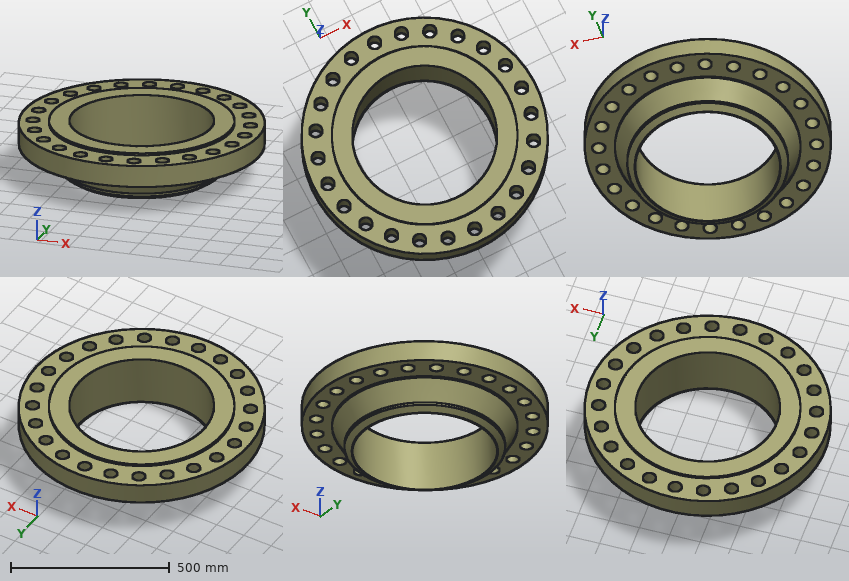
import cadquery as cq

flange_diameter = 775.0
total_height = 174.0
bore_diameter = 455.5

face_diameter = 584.0
face_height = 7.0

flange_thickness = 70.5

hub_base_diameter = 584.0
hub_base_height = 5.5
hub_end_diameter = 507.0
weld_end_diameter = 460.0
bevel_height = 15.0
land_height = 9.0

bolt_count = 24
bolt_circle_diameter = 685.5
bolt_hole_diameter = 41.0

flange_top = total_height - face_height
flange_bottom = flange_top - flange_thickness
taper_top = flange_bottom - hub_base_height
taper_bottom = bevel_height + land_height

body = (
    cq.Workplane("XZ")
    .moveTo(bore_diameter / 2, 0)
    .lineTo(weld_end_diameter / 2, 0)
    .lineTo(hub_end_diameter / 2, bevel_height)
    .lineTo(hub_end_diameter / 2, taper_bottom)
    .lineTo(hub_base_diameter / 2, taper_top)
    .lineTo(hub_base_diameter / 2, flange_bottom)
    .lineTo(flange_diameter / 2, flange_bottom)
    .lineTo(flange_diameter / 2, flange_top)
    .lineTo(face_diameter / 2, flange_top)
    .lineTo(face_diameter / 2, total_height)
    .lineTo(bore_diameter / 2, total_height)
    .close()
    .revolve(360, (0, 0, 0), (0, 1, 0))
)

bolt_holes = (
    cq.Workplane("XY")
    .workplane(offset=flange_bottom)
    .polarArray(bolt_circle_diameter / 2, 0, 360, bolt_count)
    .circle(bolt_hole_diameter / 2)
    .extrude(flange_thickness)
)

result = body.cut(bolt_holes)